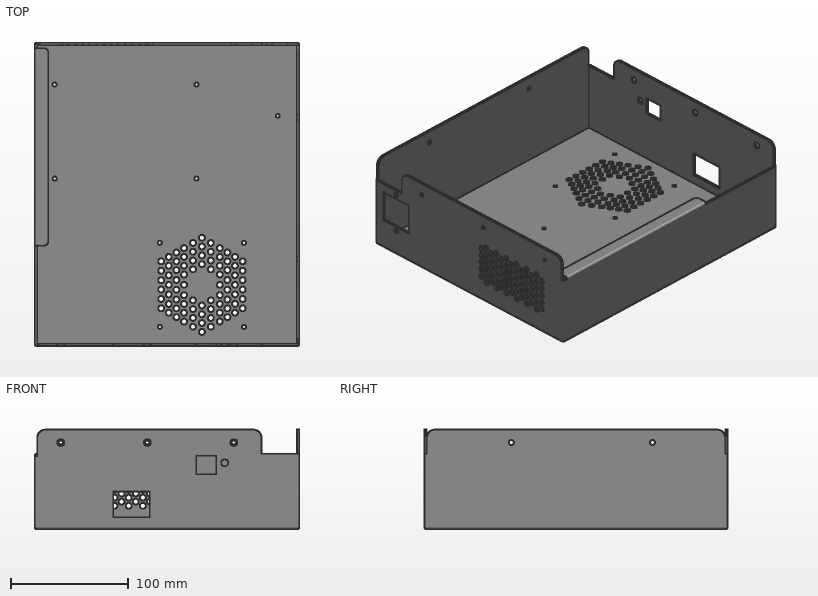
import cadquery as cq
import math

thickness = 2.0
outer_bend = thickness

length_x = 225.0
length_y = 258.0
total_height = 85.0
shoulder_height = 64.2
left_wall_height = shoulder_height - thickness
left_face = -length_x / 2
right_face = length_x / 2

tab_corner_radius = 7.2
cross_tab_start = left_face + thickness
cross_tab_end = 80.5
side_tab_half_length = length_y / 2 - thickness

flange_width = 11.5
flange_start = -43.5
flange_end = 124.4
flange_bend = 1.5
flange_corner_radius = 3.9

tab_hole_z = 73.8
cross_tab_hole_pitch = 73.5
cross_tab_hole_middle = -16.8
front_tab_hole_diameter = 6.0
back_tab_hole_diameter = 3.4
side_tab_hole_diameter = 4.0
side_tab_hole_ys = (-55.0, 65.0)

front_windows = ((-30.2, 21.2, 31.0, 21.7), (33.3, 54.7, 16.8, 15.5))
indicator_x = 49.0
indicator_z = 56.5
indicator_diameter = 6.0

socket_x = 87.5
socket_z = 41.8
socket_width = 30.7
socket_height = 28.0
socket_screw_pitch = 36.0
socket_screw_diameter = 4.5

vent_hole_diameter = 5.0

back_vent_pitch = 7.0
back_vent_column_pitch = back_vent_pitch * math.cos(math.radians(30))
back_vent_columns = 13
back_vent_short_count = 5
back_vent_right_x = -14.5
back_vent_z = 37.5

fan_x = 29.7
fan_y = -77.0
fan_ring_radius = 17.5
fan_ring_pitch = 7.5
fan_rings = 4
fan_screw_pitch = 71.5
fan_screw_diameter = 3.4

board_hole_diameter = 3.4
board_hole_xs = (-95.5, 25.0)
board_hole_ys = (13.5, 93.5)
ground_hole = (94.2, 66.8)
ground_hole_diameter = 3.0


def make_tray():
    """Open tray with rounded outer edges and a lowered left wall."""
    tray = cq.Workplane("XY").box(length_x, length_y, shoulder_height, centered=(True, True, False))
    tray = tray.edges("|Z or <Z").fillet(outer_bend)
    cavity = cq.Workplane("XY", origin=(0, 0, thickness)).box(
        length_x - 2 * thickness, length_y - 2 * thickness, shoulder_height, centered=(True, True, False)
    )
    lowering = cq.Workplane("XY", origin=(left_face, 0, left_wall_height)).box(
        2 * thickness, length_y, 2 * thickness, centered=(True, True, False)
    )
    return tray.cut(cavity).cut(lowering)


def cross_tab(lower_y):
    """Raised tab of the front or back wall, given the lower Y face of the wall."""
    tab = cq.Workplane("XY", origin=(cross_tab_start, lower_y, left_wall_height)).box(
        cross_tab_end - cross_tab_start, thickness, total_height - left_wall_height, centered=False
    )
    return tab.edges("|Y and >Z").fillet(tab_corner_radius)


def side_tab():
    """Raised tab of the right wall."""
    tab = cq.Workplane("XY", origin=(right_face - thickness, -side_tab_half_length, left_wall_height)).box(
        thickness, 2 * side_tab_half_length, total_height - left_wall_height, centered=False
    )
    return tab.edges("|X and >Z").fillet(tab_corner_radius)


def make_flange():
    """Inward flange with a rounded bend, standing on the left wall."""
    flange = cq.Workplane("XY", origin=(left_face, flange_start, left_wall_height)).box(
        flange_width, flange_end - flange_start, thickness, centered=False
    )
    flange = flange.edges("|Y and <X and >Z").fillet(flange_bend)
    return flange.edges("|Z and >X").fillet(flange_corner_radius)


def floor_holes(points, diameter):
    """Cutters through the floor at (x, y) points."""
    plane = cq.Workplane("XY").pushPoints(points)
    return plane.circle(diameter / 2).extrude(thickness)


def wall_plane(lower_y):
    """Sketch plane on the higher-Y face of a front or back wall; local axes are X and Z."""
    return cq.Workplane("XZ", origin=(0, lower_y + thickness, 0))


def wall_holes(lower_y, points, diameter):
    """Cutters through the front or back wall at (x, z) points."""
    return wall_plane(lower_y).pushPoints(points).circle(diameter / 2).extrude(thickness)


def wall_window(lower_y, x, z, width, height):
    """Rectangular cutter through the front or back wall."""
    return wall_plane(lower_y).center(x, z).rect(width, height).extrude(thickness)


def side_tab_holes():
    """Cutters through the right wall tab."""
    points = [(y, tab_hole_z) for y in side_tab_hole_ys]
    plane = cq.Workplane("YZ", origin=(right_face - thickness, 0, 0)).pushPoints(points)
    return plane.circle(side_tab_hole_diameter / 2).extrude(thickness)


def fan_grille_points():
    """Hole centres of the hexagonal rings, corners pointing along Y."""
    cos30 = math.cos(math.radians(30))
    tan30 = math.tan(math.radians(30))
    points = []
    for ring in range(fan_rings):
        radius = fan_ring_radius + ring * fan_ring_pitch
        side_x = radius * cos30
        intervals = ring + 2
        for step in range(intervals + 1):
            y = radius * (step / intervals - 0.5)
            points += [(fan_x - side_x, fan_y + y), (fan_x + side_x, fan_y + y)]
        inner_xs = [(fan_ring_radius + inner * fan_ring_pitch) * cos30 for inner in range(ring)]
        half_column = fan_ring_radius * cos30 / 2
        for x in [-half_column, 0, half_column] + inner_xs + [-inner_x for inner_x in inner_xs]:
            y = radius - abs(x) * tan30
            points += [(fan_x + x, fan_y - y), (fan_x + x, fan_y + y)]
    return points


def back_vent_points():
    """Hole centres of the staggered vent, from its right column to its left one."""
    points = []
    for column in range(back_vent_columns):
        x = back_vent_right_x - column * back_vent_column_pitch
        count = back_vent_short_count + column % 2
        for row in range(count):
            points.append((x, back_vent_z + (row - (count - 1) / 2) * back_vent_pitch))
    return points


front_wall_y = -length_y / 2
back_wall_y = length_y / 2 - thickness

result = make_tray().union(cross_tab(front_wall_y)).union(cross_tab(back_wall_y))
result = result.union(side_tab()).union(make_flange())

cross_tab_holes = [(cross_tab_hole_middle + i * cross_tab_hole_pitch, tab_hole_z) for i in (-1, 0, 1)]
result = result.cut(wall_holes(front_wall_y, cross_tab_holes, front_tab_hole_diameter))
result = result.cut(wall_holes(back_wall_y, cross_tab_holes, back_tab_hole_diameter))
result = result.cut(side_tab_holes())

for window in front_windows:
    result = result.cut(wall_window(front_wall_y, *window))
result = result.cut(wall_holes(front_wall_y, [(indicator_x, indicator_z)], indicator_diameter))

socket_screws = [(socket_x, socket_z + side * socket_screw_pitch / 2) for side in (-1, 1)]
result = result.cut(wall_window(back_wall_y, socket_x, socket_z, socket_width, socket_height))
result = result.cut(wall_holes(back_wall_y, socket_screws, socket_screw_diameter))
result = result.cut(wall_holes(back_wall_y, back_vent_points(), vent_hole_diameter))

fan_screws = [
    (fan_x + i * fan_screw_pitch / 2, fan_y + j * fan_screw_pitch / 2) for i in (-1, 1) for j in (-1, 1)
]
board_holes = [(x, y) for x in board_hole_xs for y in board_hole_ys]
result = result.cut(floor_holes(fan_grille_points(), vent_hole_diameter))
result = result.cut(floor_holes(fan_screws, fan_screw_diameter))
result = result.cut(floor_holes(board_holes, board_hole_diameter))
result = result.cut(floor_holes([ground_hole], ground_hole_diameter))